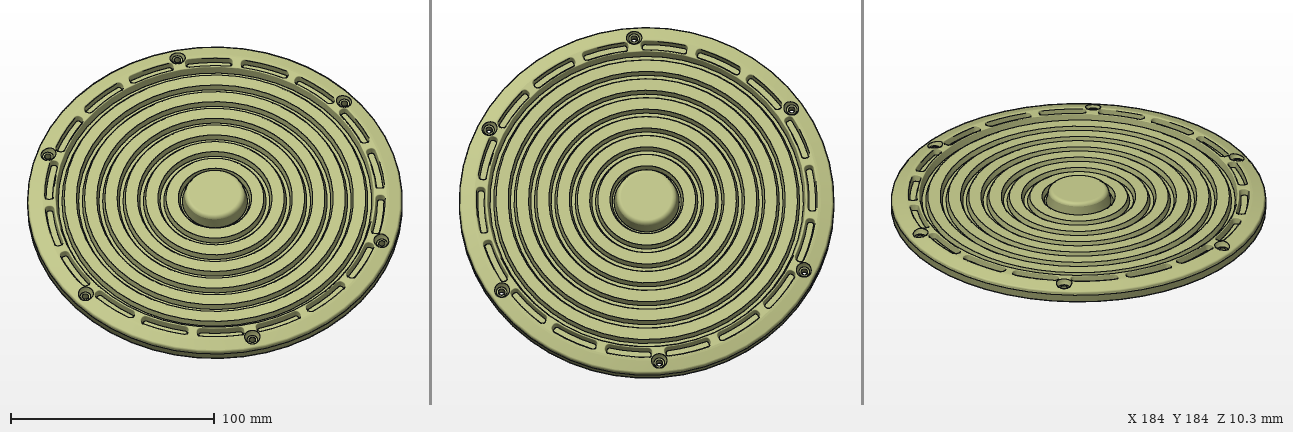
import cadquery as cq
import math

OUTER_RADIUS = 92.0
TOTAL_HEIGHT = 10.3

RIM_TOP_Z = 7.1
WALL_TOP_Z = 3.8
LEDGE_Z = 4.4
LEDGE_INSET = 0.2
SHOULDER_RADIUS = 91.0
SHOULDER_Z = 5.5
CONE_TOP_RADIUS = 85.7
CONE_TOP_DROP = 0.2
RIM_FLAT_RADIUS = 84.6
ROUND_BULGE = 0.2

LENS_Z = 6.1
GROOVE_PITCH = 10.0
GROOVE_COUNT = 7
FIRST_GROOVE_RADIUS = 18.0
GROOVE_TOP_WIDTH = 4.0
GROOVE_WALL_RUN = 1.1
GROOVE_DEPTH = 2.5
GROOVE_FLOOR_Z = LENS_Z - GROOVE_DEPTH

OUTERMOST_GROOVE_RADIUS = FIRST_GROOVE_RADIUS + (GROOVE_COUNT - 1) * GROOVE_PITCH
RIM_EDGE_ROUND = 0.4
RIM_EDGE_BULGE = 0.1
RIM_WALL_RADIUS = OUTERMOST_GROOVE_RADIUS
RIM_INNER_RADIUS = RIM_WALL_RADIUS + RIM_EDGE_ROUND

DOME_TOP_RADIUS = 12.5
DOME_SHOULDER_RADIUS = 14.8
DOME_SHOULDER_Z = 8.85
DOME_ROUND_BULGE = 0.4
DOME_BASE_RADIUS = 16.0

POCKET_COUNT = 18
POCKET_INNER_RADIUS = 79.0
POCKET_OUTER_RADIUS = 83.7
POCKET_MIDDLE_RADIUS = (POCKET_INNER_RADIUS + POCKET_OUTER_RADIUS) / 2
POCKET_CORNER_RADIUS = 2.0
POCKET_DEPTH = 3.0
POCKET_WALL_RUN = 0.8
POCKET_GAP = 4.2
SCREW_GAP = 6.0
MOUTH_ROUND = 0.45

SCREW_COUNT = 6
SCREW_CIRCLE_RADIUS = 86.0
SCREW_HOLE_DIAMETER = 3.2
RECESS_FLOOR_RADIUS = 2.6
RECESS_FLOOR_Z = 4.6
RECESS_FLARE_RADIUS = 3.2
RECESS_FLARE_Z = 5.6
RECESS_TOP_RADIUS = 3.9


def bulge_point(start, end, bulge):
    """Point offset by `bulge` to the right of the middle of start-end."""
    dx = end[0] - start[0]
    dz = end[1] - start[1]
    length = math.hypot(dx, dz)
    mid_x = (start[0] + end[0]) / 2
    mid_z = (start[1] + end[1]) / 2
    return (mid_x + bulge * dz / length, mid_z - bulge * dx / length)


def polar(radius, angle):
    return (radius * math.cos(angle), radius * math.sin(angle))


def make_disc():
    """Revolve the half section: wall, shoulder, rim, grooved lens face and dome."""
    ledge = (OUTER_RADIUS - LEDGE_INSET, LEDGE_Z)
    shoulder = (SHOULDER_RADIUS, SHOULDER_Z)
    cone_top = (CONE_TOP_RADIUS, RIM_TOP_Z - CONE_TOP_DROP)
    rim_flat = (RIM_FLAT_RADIUS, RIM_TOP_Z)
    rim_edge = (RIM_INNER_RADIUS, RIM_TOP_Z)
    rim_wall = (RIM_WALL_RADIUS, RIM_TOP_Z - RIM_EDGE_ROUND)
    section = (
        cq.Workplane("XZ")
        .moveTo(0, 0)
        .lineTo(OUTER_RADIUS, 0)
        .lineTo(OUTER_RADIUS, WALL_TOP_Z)
        .lineTo(*ledge)
        .threePointArc(bulge_point(ledge, shoulder, ROUND_BULGE), shoulder)
        .lineTo(*cone_top)
        .lineTo(*rim_flat)
        .lineTo(*rim_edge)
        .threePointArc(bulge_point(rim_edge, rim_wall, RIM_EDGE_BULGE), rim_wall)
    )
    for index in reversed(range(GROOVE_COUNT)):
        outer = FIRST_GROOVE_RADIUS + index * GROOVE_PITCH
        inner = outer - GROOVE_TOP_WIDTH
        if outer < OUTERMOST_GROOVE_RADIUS:
            section = section.lineTo(outer, LENS_Z)
        section = section.lineTo(outer - GROOVE_WALL_RUN, GROOVE_FLOOR_Z)
        if index > 0:
            section = section.lineTo(inner + GROOVE_WALL_RUN, GROOVE_FLOOR_Z)
            section = section.lineTo(inner, LENS_Z)
    dome_shoulder = (DOME_SHOULDER_RADIUS, DOME_SHOULDER_Z)
    dome_top = (DOME_TOP_RADIUS, TOTAL_HEIGHT)
    section = (
        section.lineTo(DOME_BASE_RADIUS, GROOVE_FLOOR_Z)
        .lineTo(*dome_shoulder)
        .threePointArc(bulge_point(dome_shoulder, dome_top, DOME_ROUND_BULGE), dome_top)
        .lineTo(0, TOTAL_HEIGHT)
        .close()
    )
    return section.revolve(360, (0, 0, 0), (0, 1, 0))


def pocket_outline(start, end, inset):
    """Rounded ring segment between two angles, drawn in on every side by `inset`."""
    inner = POCKET_INNER_RADIUS + inset
    outer = POCKET_OUTER_RADIUS - inset
    middle = (start + end) / 2
    turn = inset / POCKET_MIDDLE_RADIUS
    start = start + turn
    end = end - turn
    return (
        cq.Sketch()
        .segment(polar(inner, start), polar(outer, start))
        .arc(polar(outer, start), polar(outer, middle), polar(outer, end))
        .segment(polar(outer, end), polar(inner, end))
        .arc(polar(inner, end), polar(inner, middle), polar(inner, start))
        .assemble()
        .vertices()
        .fillet(POCKET_CORNER_RADIUS - inset)
    )


def make_pocket(start, end):
    """Curved pocket between two angles with walls that draw in towards its floor."""
    mouth = pocket_outline(start, end, 0)
    floor = pocket_outline(start, end, POCKET_WALL_RUN)
    floor = floor.moved(cq.Location(cq.Vector(0, 0, -POCKET_DEPTH)))
    plane = cq.Workplane("XY", origin=(0, 0, RIM_TOP_Z))
    return plane.placeSketch(mouth, floor).loft(ruled=True)


def round_pocket_mouths(body):
    """Round the pocket mouths, which are the small closed loops in the flat rim face."""
    solid = body.findSolid()
    rim_centre = (0, 0, RIM_TOP_Z)
    rim_face = body.faces(cq.NearestToPointSelector(rim_centre)).val()
    loops = rim_face.innerWires()
    mouths = [loop for loop in loops if loop.BoundingBox().DiagonalLength < RIM_INNER_RADIUS]
    edges = [edge for mouth in mouths for edge in mouth.Edges()]
    return cq.Workplane(solid.fillet(MOUTH_ROUND, edges))


def cut_pockets(body):
    """Cut the ring of pockets, leaving wider webs where the screws sit."""
    pitch = 2 * math.pi / POCKET_COUNT
    webs_per_screw = POCKET_COUNT // SCREW_COUNT

    def half_web(web):
        gap = SCREW_GAP if web % webs_per_screw == 0 else POCKET_GAP
        return gap / 2 / POCKET_MIDDLE_RADIUS

    pockets = []
    for index in range(POCKET_COUNT):
        start = index * pitch + half_web(index)
        end = (index + 1) * pitch - half_web(index + 1)
        pockets.append(make_pocket(start, end).val())
    body = body.cut(cq.Workplane(cq.Compound.makeCompound(pockets)))
    return round_pocket_mouths(body)


def cut_screw_holes(body):
    """Cut flared screw recesses with through holes on the screw circle."""
    recess = (
        cq.Workplane("XZ")
        .moveTo(0, RECESS_FLOOR_Z)
        .lineTo(RECESS_FLOOR_RADIUS, RECESS_FLOOR_Z)
        .lineTo(RECESS_FLARE_RADIUS, RECESS_FLARE_Z)
        .lineTo(RECESS_TOP_RADIUS, RIM_TOP_Z)
        .lineTo(0, RIM_TOP_Z)
        .close()
        .revolve(360, (0, 0, 0), (0, 1, 0))
    )
    hole = cq.Workplane("XY").circle(SCREW_HOLE_DIAMETER / 2).extrude(RIM_TOP_Z)
    cutter = recess.union(hole)
    for index in range(SCREW_COUNT):
        x, y = polar(SCREW_CIRCLE_RADIUS, index * 2 * math.pi / SCREW_COUNT)
        body = body.cut(cutter.translate((x, y, 0)))
    return body


result = cut_screw_holes(cut_pockets(make_disc()))